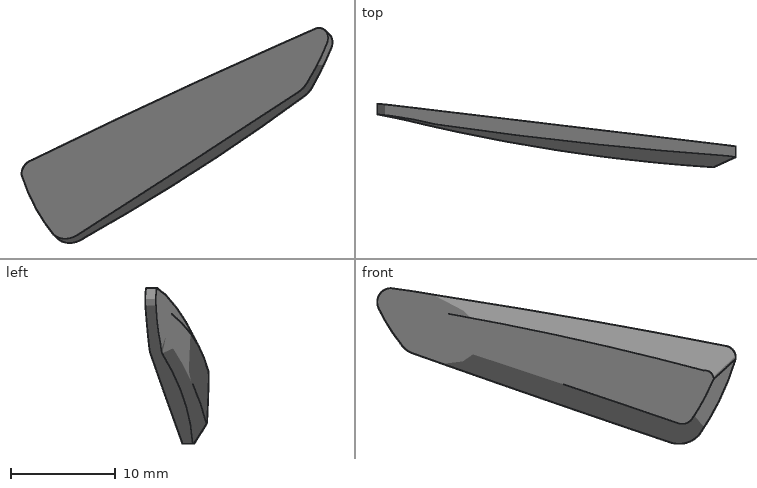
import cadquery as cq

HEIGHT = 14.92
BACK_SLOPE_X = 0.116
BACK_SLOPE_Z = 0.02
EDGE_THICKNESS = 1.03
UPPER_THICKNESS = 1.45
LOWER_THICKNESS = 1.68
SEAM_THICKNESS = 1.35
SHOULDER_THICKNESS = 1.13
PANEL_START = 0.93
PANEL_SLOPE = 0.26
PANEL_CURVATURE = 0.00306

OUTLINE_START = (1.3, 14.92)
OUTLINE = [
    ((3.5, 14.6), (5.55, 14.27), False, SHOULDER_THICKNESS, SEAM_THICKNESS),
    ((19.5, 11.97), (33.3, 9.4), False, UPPER_THICKNESS, EDGE_THICKNESS),
    ((34.07, 8.95), (34.3, 8.15), True, EDGE_THICKNESS, EDGE_THICKNESS),
    ((32.85, 4.35), (30.85, 0.93), False, EDGE_THICKNESS, EDGE_THICKNESS),
    ((29.58, 0.1), (27.85, 0.2), True, EDGE_THICKNESS, EDGE_THICKNESS),
    ((15.6, 4.4), (3.35, 8.68), False, LOWER_THICKNESS, SHOULDER_THICKNESS),
    ((2.7, 9.05), (2.25, 9.57), True, SHOULDER_THICKNESS, SHOULDER_THICKNESS),
    ((1.1, 11.22), (0.15, 12.97), False, EDGE_THICKNESS, EDGE_THICKNESS),
    ((0.25, 14.35), OUTLINE_START, True, EDGE_THICKNESS, EDGE_THICKNESS),
]

PANEL_OUTLINE_START = (3.05, 13.07)
PANEL_OUTLINE = [
    ((4.95, 12.8), (6.83, 12.45)),
    ((19.5, 9.9), (31.25, 7.05)),
    ((31.98, 6.75), (32.18, 6.2)),
    ((31.25, 4.3), (30.15, 2.47)),
    ((29.65, 2.02), (28.9, 1.95)),
    ((16.65, 6.1), (4.4, 10.12)),
    ((4.1, 10.3), (3.88, 10.55)),
    ((3.15, 11.43), (2.57, 12.4)),
    ((2.6, 12.9), PANEL_OUTLINE_START),
]
UPPER_SIDE = 1
LOWER_CORNER = 4


def back_point(point, thickness=0):
    """Point on the flat back, or in front of it by the given thickness."""
    x, z = point
    y = -BACK_SLOPE_X * x - BACK_SLOPE_Z * (HEIGHT - z) - thickness
    return cq.Vector(x, y, z)


def panel_point(point):
    """Point on the crowned panel, whose depth follows a parabola along X."""
    x, z = point
    return cq.Vector(x, -PANEL_START - PANEL_SLOPE * x + PANEL_CURVATURE * x**2, z)


def make_edge(start, middle, end, is_corner):
    if is_corner:
        return cq.Edge.makeThreePointArc(start, middle, end)
    return cq.Edge.makeSpline([start, middle, end])


back_edges = []
rim_edges = []
panel_edges = []
start = OUTLINE_START
start_thickness = EDGE_THICKNESS
panel_start = PANEL_OUTLINE_START
for stretch, panel_stretch in zip(OUTLINE, PANEL_OUTLINE):
    middle, end, is_corner, middle_thickness, end_thickness = stretch
    panel_middle, panel_end = panel_stretch
    back_edges.append(make_edge(back_point(start), back_point(middle), back_point(end), is_corner))
    rim_edges.append(make_edge(
        back_point(start, start_thickness),
        back_point(middle, middle_thickness),
        back_point(end, end_thickness),
        is_corner,
    ))
    panel_edges.append(make_edge(
        panel_point(panel_start), panel_point(panel_middle), panel_point(panel_end), is_corner,
    ))
    start = end
    start_thickness = end_thickness
    panel_start = panel_end

faces = [cq.Face.makeFromWires(cq.Wire.assembleEdges(back_edges))]
for back_edge, rim_edge, panel_edge in zip(back_edges, rim_edges, panel_edges):
    faces.append(cq.Face.makeRuledSurface(back_edge, rim_edge))
    faces.append(cq.Face.makeRuledSurface(rim_edge, panel_edge))

seam = cq.Edge.makeLine(
    panel_point(PANEL_OUTLINE[UPPER_SIDE][1]),
    panel_point(PANEL_OUTLINE[LOWER_CORNER][1]),
)
strip_edges = panel_edges[UPPER_SIDE + 1:LOWER_CORNER + 1]
main_edges = panel_edges[:UPPER_SIDE + 1] + panel_edges[LOWER_CORNER + 1:]
for boundary in (main_edges, strip_edges):
    faces.append(cq.Face.makeNSidedSurface(boundary + [seam], []))

result = cq.Workplane("XY").newObject([cq.Solid.makeSolid(cq.Shell.makeShell(faces))])